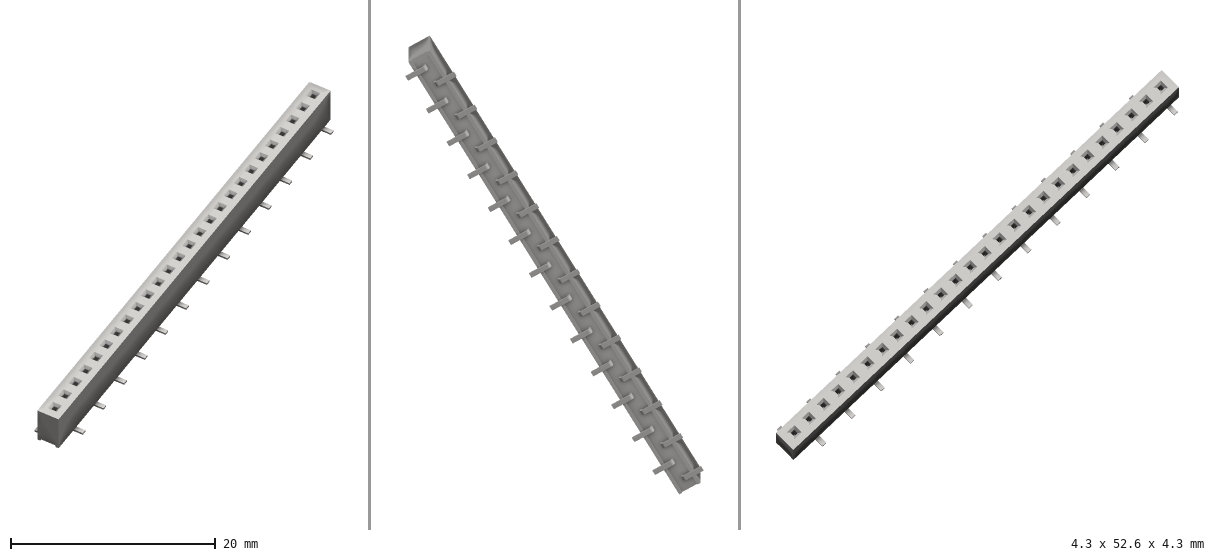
import cadquery as cq

LENGTH = 52.6
HOUSING_WIDTH = 2.4
TOTAL_HEIGHT = 4.3
STANDOFF = 0.3
HOUSING_HEIGHT = TOTAL_HEIGHT - STANDOFF

CHANNEL_WIDTH = 1.75
CHANNEL_DEPTH = 0.2
CHANNEL_TOP = STANDOFF + CHANNEL_DEPTH

CONTACT_COUNT = 26
PITCH = 2.0
ROW_LENGTH = (CONTACT_COUNT - 1) * PITCH

MOUTH_SIZE = 1.0
BORE_SIZE = 0.485
MOUTH_DEPTH = (MOUTH_SIZE - BORE_SIZE) / 2
BORE_DEPTH = 2.1
SLIT_WIDTH = 0.05
SLIT_DEPTH = 0.25

PIN_SPAN = 4.3
PIN_WIDTH = 0.5
PIN_THICKNESS = 0.2
BEND_INNER_RADIUS = 0.1
BEND_OUTER_RADIUS = BEND_INNER_RADIUS + PIN_THICKNESS
PIN_EMBED = 0.25


def make_housing():
    """Rectangular bar with a full-length channel in its underside."""
    underside = cq.Workplane("XY", origin=(0, 0, STANDOFF))
    bar = underside.rect(HOUSING_WIDTH, LENGTH).extrude(HOUSING_HEIGHT)
    channel = underside.rect(CHANNEL_WIDTH, LENGTH).extrude(CHANNEL_DEPTH)
    return bar.cut(channel)


def make_socket():
    """Cutting body for one socket, centred on the Z axis."""
    top = cq.Workplane("XY", origin=(0, 0, TOTAL_HEIGHT))
    mouth = (
        top.rect(MOUTH_SIZE, MOUTH_SIZE)
        .workplane(offset=-MOUTH_DEPTH)
        .rect(BORE_SIZE, BORE_SIZE)
        .loft(ruled=True)
    )
    bore = top.rect(BORE_SIZE, BORE_SIZE).extrude(-BORE_DEPTH)
    slit = top.rect(BORE_SIZE, SLIT_WIDTH).extrude(-(BORE_DEPTH + SLIT_DEPTH))
    return mouth.union(bore).union(slit)


def make_pin():
    """L-shaped pin: post on the Z axis, rounded bend, foot pointing toward +X."""
    half_thickness = PIN_THICKNESS / 2
    foot_tip = PIN_SPAN / 2
    post_top = CHANNEL_TOP + PIN_EMBED
    bend_end = half_thickness + BEND_INNER_RADIUS
    return (
        cq.Workplane("XZ")
        .moveTo(foot_tip, 0)
        .lineTo(foot_tip, PIN_THICKNESS)
        .lineTo(bend_end, PIN_THICKNESS)
        .radiusArc((half_thickness, BEND_OUTER_RADIUS), BEND_INNER_RADIUS)
        .lineTo(half_thickness, post_top)
        .lineTo(-half_thickness, post_top)
        .lineTo(-half_thickness, BEND_OUTER_RADIUS)
        .radiusArc((bend_end, 0), -BEND_OUTER_RADIUS)
        .close()
        .extrude(PIN_WIDTH / 2, both=True)
    )


socket = make_socket()
right_pin = make_pin()
left_pin = right_pin.mirror("YZ")

result = make_housing()
for index in range(CONTACT_COUNT):
    contact_place = (0, ROW_LENGTH / 2 - index * PITCH, 0)
    pin = right_pin if index % 2 == 0 else left_pin
    result = result.cut(socket.translate(contact_place)).union(pin.translate(contact_place))